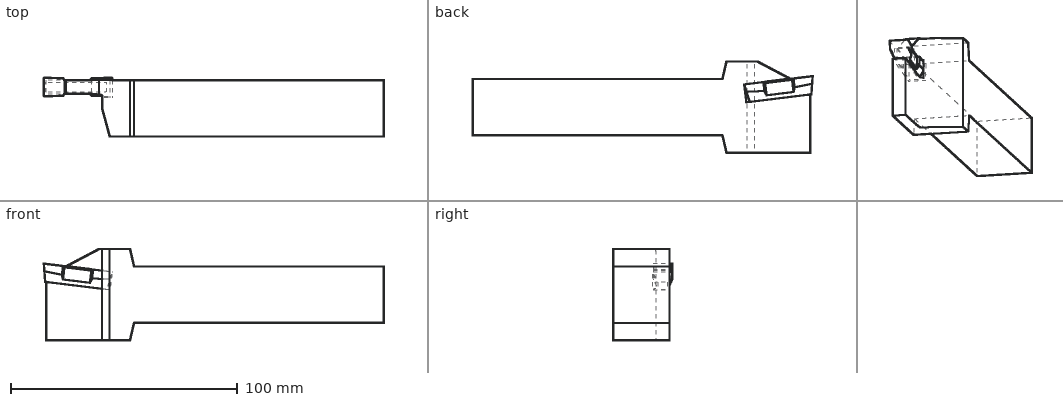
import cadquery as cq
import math

total_length = 150.1
head_height = 40.4
shank_size = 24.9
shank_bottom = (head_height - shank_size) / 2
shank_top = shank_bottom + shank_size

head_back_x = 38.1
shank_start_x = 40.0
jaw_crest_x = 24.5
jaw_nose_x = 9.9

blade_front_x = 1.0
blade_thickness = 6.0
blade_y = shank_size - blade_thickness
blade_flare_x = 20.9
fillet_start_x = 24.8
fillet_start_y = 18.6
shoulder_x = 25.8
shoulder_y = 17.3
shoulder_bend_y = 12.2
shoulder_end_x = 29.1

insert_tilt = 7.0
tip_z = 34.0
insert_span = 30.3
insert_length = insert_span / math.cos(math.radians(insert_tilt))
insert_height = 8.0
insert_y = shank_size - blade_thickness / 2
edge_width = 8.4
head_rear_width = 7.8
neck_width = blade_thickness
head_length = 8.5
head_taper_length = 0.8
side_depth = 3.3
base_width = 4.2
end_relief_angle = 11.0
nose_radius = 0.6
neck_drop = 0.5


def top_line_z(x):
    """Height of the sloping insert top line at a given X."""
    return tip_z - x * math.tan(math.radians(insert_tilt))


def place_insert_frame(body):
    """Move a body from the insert frame to its tilted place in the holder."""
    tilted = body.rotate((0, 0, 0), (0, 1, 0), insert_tilt)
    return tilted.translate((0, insert_y, tip_z))


def make_holder():
    """Shank, head, blade and clamping jaw, with the sloping insert slot."""
    side = (
        cq.Workplane("XZ")
        .polyline([
            (blade_front_x, 0),
            (head_back_x, 0),
            (shank_start_x, shank_bottom),
            (total_length, shank_bottom),
            (total_length, shank_top),
            (shank_start_x, shank_top),
            (head_back_x, head_height),
            (jaw_crest_x, head_height),
            (jaw_nose_x, top_line_z(jaw_nose_x)),
            (blade_front_x, top_line_z(blade_front_x)),
        ])
        .close()
        .extrude(-shank_size)
    )
    plan = (
        cq.Workplane("XY")
        .moveTo(blade_front_x, shank_size)
        .lineTo(blade_front_x, blade_y)
        .lineTo(blade_flare_x, blade_y)
        .lineTo(fillet_start_x, fillet_start_y)
        .tangentArcPoint((shoulder_x, shoulder_y), relative=False)
        .lineTo(shoulder_x, shoulder_bend_y)
        .lineTo(shoulder_end_x, 0)
        .lineTo(total_length, 0)
        .lineTo(total_length, shank_size)
        .close()
        .extrude(head_height)
    )
    return side.intersect(plan).cut(make_slot())


def make_slot():
    """Slot for the insert, open at the front and at the back face of the holder."""
    slot_width = 2 * (insert_y - shoulder_y)
    slot = cq.Workplane("XY").box(
        2 * insert_length, slot_width, insert_height, centered=(True, True, False)
    ).translate((0, 0, -insert_height))
    return place_insert_frame(slot)


def make_insert():
    """Insert with a tapered head at each end, a narrow neck and a bevelled base."""
    mid_x = insert_length / 2
    neck_x = head_length + head_taper_length
    front_half = [
        (0, edge_width / 2),
        (head_length, head_rear_width / 2),
        (neck_x, neck_width / 2),
    ]
    rear_half = [(insert_length - x, y) for x, y in reversed(front_half)]
    left_edge = front_half + rear_half
    right_edge = [(x, -y) for x, y in reversed(left_edge)]
    plan = (
        cq.Workplane("XY")
        .polyline(left_edge + right_edge)
        .close()
        .extrude(-insert_height)
    )

    section = (
        cq.Workplane("YZ")
        .polyline([
            (-edge_width / 2, 0),
            (edge_width / 2, 0),
            (edge_width / 2, -side_depth),
            (base_width / 2, -insert_height),
            (-base_width / 2, -insert_height),
            (-edge_width / 2, -side_depth),
        ])
        .close()
        .extrude(insert_length)
    )

    end_relief = insert_height * math.tan(math.radians(end_relief_angle))
    profile = (
        cq.Workplane("XZ")
        .polyline([
            (0, 0),
            (insert_length, 0),
            (insert_length - end_relief, -insert_height),
            (end_relief, -insert_height),
        ])
        .close()
        .extrude(edge_width / 2, both=True)
    )
    neck_recess = cq.Workplane("XY").box(
        2 * (mid_x - neck_x), edge_width, 2 * neck_drop
    ).translate((mid_x, 0, 0))
    body = plan.intersect(section).intersect(profile).cut(neck_recess)
    for end_face in ("<X", ">X"):
        body = body.faces(end_face).edges("not |Y").fillet(nose_radius)
    return place_insert_frame(body)


holder = make_holder()
insert = make_insert()
result = cq.Compound.makeCompound([holder.solids().val(), insert.solids().val()])